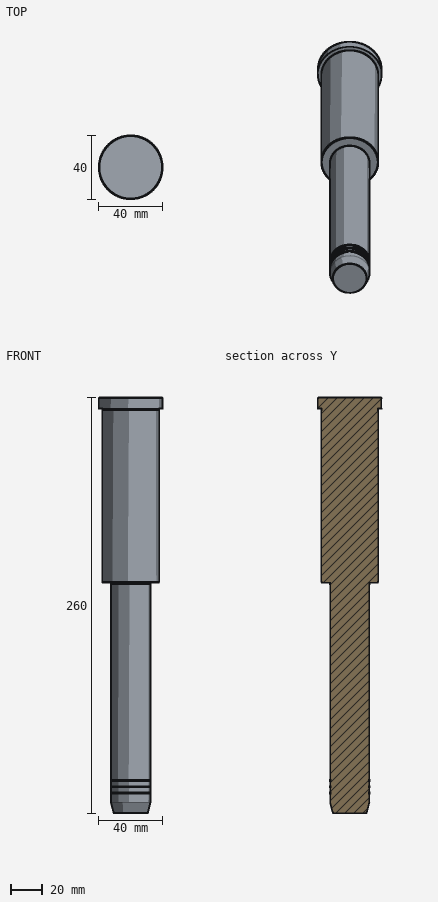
import cadquery as cq

total_length = 260.0

head_diameter = 40.0
head_height = 7.0
head_chamfer = 0.5
body_diameter = 36.0
body_bottom = 144.0
body_chamfer = 0.5
pin_diameter = 25.0

nose_length = 7.0
nose_tip_diameter = 21.3
tip_chamfer = 0.3

groove_count = 3
groove_width = 0.8
groove_depth = 0.5
groove_pitch = 4.0
first_groove_bottom = 12.2

relief_depth = 0.3
relief_floor_width = 0.8

head_bottom = total_length - head_height


def cylinder(diameter, bottom, top):
    """Solid cylinder on the Z axis between two heights."""
    return cq.Workplane("XY").workplane(offset=bottom).circle(diameter / 2).extrude(top - bottom)


def relieved_shaft(diameter, bottom, top):
    """Cylinder whose top end is necked down to form the relief under a shoulder."""
    floor_bottom = top - relief_floor_width
    shaft = cylinder(diameter, bottom, floor_bottom).faces(">Z").chamfer(relief_depth)
    neck = cylinder(diameter - 2 * relief_depth, floor_bottom, top)
    return shaft.union(neck)


def groove_ring(diameter, bottom):
    """Ring that cuts one groove into a shaft when subtracted."""
    top = bottom + groove_width
    core = cylinder(diameter - 2 * groove_depth, bottom, top)
    return cylinder(diameter, bottom, top).cut(core)


head = cylinder(head_diameter, head_bottom, total_length).faces(">Z").chamfer(head_chamfer)
body = relieved_shaft(body_diameter, body_bottom, head_bottom).faces("<Z").chamfer(body_chamfer)

pin = relieved_shaft(pin_diameter, nose_length, body_bottom)
for index in range(groove_count):
    pin = pin.cut(groove_ring(pin_diameter, first_groove_bottom + index * groove_pitch))

nose = (
    cq.Workplane("XY")
    .circle(nose_tip_diameter / 2)
    .workplane(offset=nose_length)
    .circle(pin_diameter / 2)
    .loft()
    .faces("<Z")
    .chamfer(tip_chamfer)
)

result = head.union(body).union(pin).union(nose)